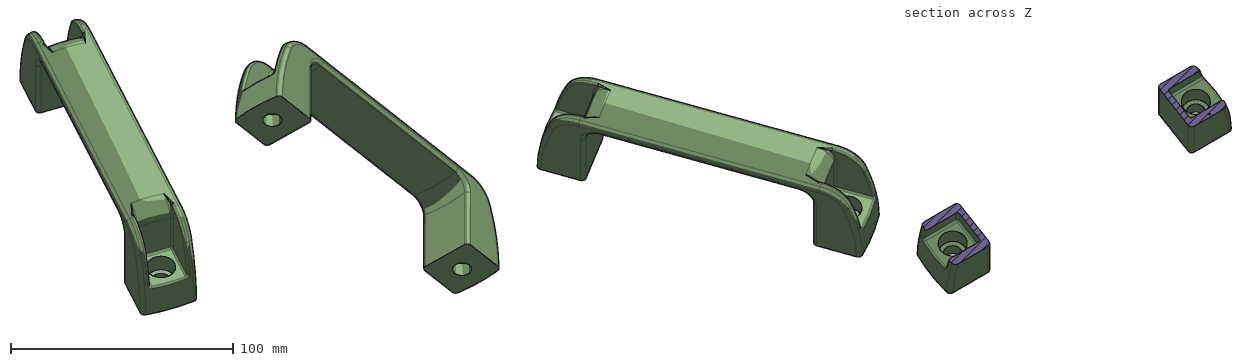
import cadquery as cq
import math

length = 155.81
width = 27.0
height = 44.93
half_length = length / 2
half_width = width / 2

top_crown_radius = 50.0
foot_crown_radius = 90.0
side_round = 2.5
foot_side_round = 2.2
skin_depth = 7.0
skin_overlap = 2.0

shoulder_x = 57.0
shoulder_radius = 16.0

grip_thickness = 7.93
opening_half_length = 54.0
opening_corner_radius = 7.0
opening_edge_round = 2.0

pocket_floor_z = 16.0
pocket_half_width = 9.0
pocket_back_round = 8.0
pocket_corner_round = 1.0
pocket_rim_round = 1.0
rim_past_back = 1.5
runout_end_size = 0.05
pocket_end_x = -shoulder_x + pocket_back_round
pocket_rim_end_x = -shoulder_x + rim_past_back

hole_spacing = 132.0
hole_diameter = 8.5
counterbore_diameter = 13.0
counterbore_depth = 9.0

clearance = 10.0
tolerance = 0.1
half_block_width = half_width + clearance

shoulder_center_z = height - shoulder_radius
shoulder_to_end = half_length - shoulder_x
end_radius = (shoulder_to_end**2 + shoulder_center_z**2 - shoulder_radius**2) / (
    2 * (shoulder_to_end - shoulder_radius)
)
end_center_x = half_length - end_radius
shoulder_angle = math.acos(shoulder_center_z / (end_radius - shoulder_radius))


def shoulder_point(angle, inset):
    """Point on the shoulder arc of the -X leg, as (x, z); angle runs from the top."""
    radius = shoulder_radius - inset
    return (-shoulder_x - radius * math.sin(angle), shoulder_center_z + radius * math.cos(angle))


def end_point(angle, inset):
    """Point on the end arc of the -X leg, as (x, z); angle runs from the top."""
    radius = end_radius - inset
    return (-end_center_x - radius * math.sin(angle), radius * math.cos(angle))


middle_of_shoulder = shoulder_angle / 2
middle_of_end = (shoulder_angle + math.pi / 2) / 2


def skin_section(workplane, crown_radius, round_radius):
    """Closed skin section: crown apex at the origin, depth along local -Y, width along local X."""
    center_y = -crown_radius
    round_x = half_width - round_radius
    round_y = center_y + math.sqrt((crown_radius - round_radius) ** 2 - round_x**2)
    tilt = math.asin(round_x / (crown_radius - round_radius))
    crown_end = (crown_radius * math.sin(tilt), center_y + crown_radius * math.cos(tilt))
    middle = (tilt + math.pi / 2) / 2
    round_middle = (round_x + round_radius * math.sin(middle), round_y + round_radius * math.cos(middle))
    return (
        workplane.moveTo(-half_width, -skin_depth)
        .lineTo(half_width, -skin_depth)
        .lineTo(half_width, round_y)
        .threePointArc(round_middle, crown_end)
        .threePointArc((0, 0), (-crown_end[0], crown_end[1]))
        .threePointArc((-round_middle[0], round_middle[1]), (-half_width, round_y))
        .close()
    )


def make_end_skin():
    """Skin over the shoulder and the end of the -X leg, flattening towards the foot."""
    path = (
        cq.Workplane("XZ")
        .moveTo(-shoulder_x, height)
        .threePointArc(shoulder_point(middle_of_shoulder, 0), shoulder_point(shoulder_angle, 0))
        .threePointArc(end_point(middle_of_end, 0), (-half_length, 0))
    )
    top_plane = cq.Plane(origin=(-shoulder_x, 0, height), xDir=(0, 1, 0), normal=(1, 0, 0))
    foot_plane = cq.Plane(origin=(-half_length, 0, 0), xDir=(0, 1, 0), normal=(0, 0, 1))
    top_wire = skin_section(cq.Workplane(top_plane), top_crown_radius, side_round).wires().val()
    foot_wire = skin_section(cq.Workplane(foot_plane), foot_crown_radius, foot_side_round).wires().val()
    skin = cq.Solid.sweep_multi([top_wire, foot_wire], path.wire().val(), True, False)
    return cq.Workplane(skin)


def make_top_skin():
    """Straight skin along the grip, from the shoulder to the middle of the handle."""
    plane = cq.Plane(origin=(-shoulder_x, 0, height), xDir=(0, 1, 0), normal=(1, 0, 0))
    return skin_section(cq.Workplane(plane), top_crown_radius, side_round).extrude(shoulder_x)


def make_core():
    """Full-width filling of the -X half, inset from the outer surface but overlapping the skin."""
    inset = skin_depth - skin_overlap
    return (
        cq.Workplane("XZ")
        .moveTo(-shoulder_x, height - inset)
        .threePointArc(shoulder_point(middle_of_shoulder, inset), shoulder_point(shoulder_angle, inset))
        .threePointArc(end_point(middle_of_end, inset), (-half_length + inset, 0))
        .lineTo(0, 0)
        .lineTo(0, height - inset)
        .close()
        .extrude(half_width, both=True)
    )


def crowned_block(start_x, end_x, apex_z, crown_side):
    """Block with one crowned face: crown_side +1 fills below a top crown, -1 above a bottom crown."""
    edge_z = apex_z - crown_side * (
        top_crown_radius - math.sqrt(top_crown_radius**2 - half_block_width**2)
    )
    far_z = apex_z - crown_side * 2 * height
    return (
        cq.Workplane("YZ", origin=(start_x, 0, 0))
        .moveTo(-half_block_width, far_z)
        .lineTo(-half_block_width, edge_z)
        .threePointArc((0, apex_z), (half_block_width, edge_z))
        .lineTo(half_block_width, far_z)
        .close()
        .extrude(end_x - start_x)
    )


def make_opening():
    """Space beside the -X leg and under the grip, with a crowned ceiling and a rounded corner."""
    grip = crowned_block(-length, clearance, height - grip_thickness, -1)
    return (
        cq.Workplane("XY")
        .box(opening_half_length, 2 * half_block_width, 2 * height)
        .translate((-opening_half_length / 2, 0, 0))
        .cut(grip)
        .edges("<X and (not |Y) and (not |Z)")
        .edges(">Z")
        .fillet(opening_corner_radius)
    )


def round_opening_edges(body):
    """Round the side edges of the leg and of the grip where they border the opening."""
    border = cq.selectors.BoxSelector(
        (-opening_half_length - tolerance, -width, tolerance),
        (-tolerance, width, height - grip_thickness / 2),
    )
    return body.edges(border).edges("not #Y").fillet(opening_edge_round)


def make_pocket():
    """Pocket over the screw hole, open to the end, its back wall rolling over into the grip top."""
    grip = crowned_block(-shoulder_x, clearance, height, 1)
    grip = grip.edges("<X").edges(">Z").fillet(pocket_back_round)
    open_end_x = -half_length - clearance
    pocket = (
        cq.Workplane("XY", origin=(open_end_x, 0, pocket_floor_z))
        .box(pocket_end_x - open_end_x, 2 * pocket_half_width, height, centered=(False, True, False))
        .cut(grip)
    )
    floor_sides = pocket.faces("<Z").edges("not(<X)")
    back_corners = pocket.edges("|Z").edges(
        cq.selectors.BoxSelector(
            (-shoulder_x - tolerance, -width, 0), (-shoulder_x + tolerance, width, height)
        )
    )
    return pocket.newObject(floor_sides.vals() + back_corners.vals()).fillet(pocket_corner_round)


def cut_pocket(body):
    """Cut the pocket and round its rim up to where the rim meets the rolled-over back wall."""
    pocket = make_pocket()
    front_part = pocket.intersect(
        cq.Workplane("XY")
        .box(length, length, length)
        .translate((pocket_rim_end_x - half_length, 0, 0))
    )
    front_edge_middle = (-half_length, 0, pocket_floor_z)
    body = (
        body.cut(front_part)
        .edges(cq.selectors.NearestToPointSelector(front_edge_middle))
        .fillet(pocket_rim_round)
    )
    runout = make_rim_runout()
    return body.cut(pocket).cut(runout).cut(runout.mirror("XZ"))


def crown_z(y):
    """Height of the crowned top of the grip at a distance y from its middle plane."""
    return height - top_crown_radius + math.sqrt(top_crown_radius**2 - y**2)


def runout_section(x, outer_y, size):
    """Triangular section of the rim groove at x: one corner on the crown, one `size` deeper."""
    inner_y = outer_y - size
    return (
        cq.Workplane("YZ", origin=(x, 0, 0))
        .moveTo(outer_y, crown_z(outer_y))
        .lineTo(inner_y, crown_z(outer_y) - size)
        .lineTo(inner_y, crown_z(inner_y) + size)
        .close()
        .wires()
        .val()
    )


def make_rim_runout():
    """Tool that lets the rounded rim on the +Y side fade out along the rolled-over back wall."""
    start = runout_section(pocket_rim_end_x, pocket_half_width + pocket_rim_round, pocket_rim_round)
    end = runout_section(pocket_end_x, pocket_half_width - pocket_corner_round, runout_end_size)
    return cq.Workplane(cq.Solid.makeLoft([start, end], True))


def make_screw_hole():
    """Counterbored hole from the pocket floor down through the foot."""
    return (
        cq.Workplane("XY", origin=(-hole_spacing / 2, 0, pocket_floor_z))
        .circle(hole_diameter / 2)
        .extrude(-pocket_floor_z)
        .faces(">Z")
        .workplane()
        .circle(counterbore_diameter / 2)
        .extrude(-counterbore_depth)
    )


half = make_end_skin().union(make_top_skin()).union(make_core()).cut(make_opening())
half = cut_pocket(round_opening_edges(half)).cut(make_screw_hole())
result = half.union(half.mirror("YZ")).clean()